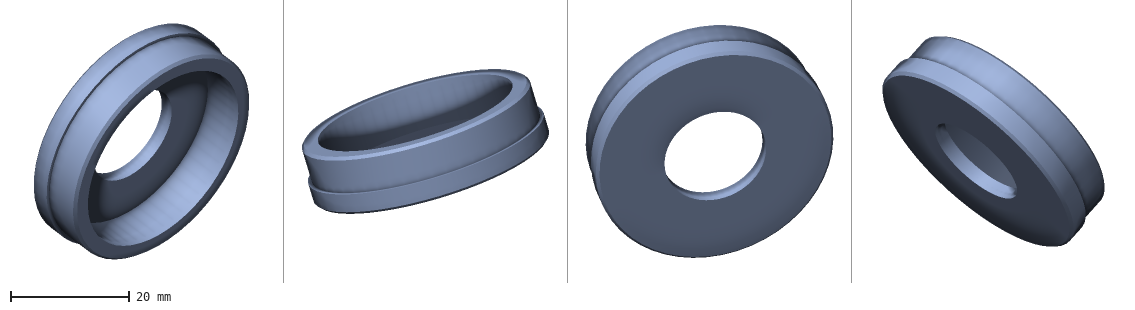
import cadquery as cq

total_width = 10.15
flange_diameter = 41.65
flange_width = 3.75
body_diameter = 40.33
edge_chamfer = 0.5

hole_diameter = 17.85
bore_diameter = 34.4
web_thickness = 2.5


def disc(diameter, start, end):
    """Cylinder about the X axis between two X positions."""
    plane = cq.Plane(origin=(start, 0, 0), xDir=(0, 0, 1), normal=(1, 0, 0))
    return cq.Workplane(plane).circle(diameter / 2).extrude(end - start)


flange = disc(flange_diameter, 0, flange_width).faces("<X").chamfer(edge_chamfer)
body = disc(body_diameter, 0, total_width).faces(">X").chamfer(edge_chamfer)
hole = disc(hole_diameter, 0, total_width)
bore = disc(bore_diameter, web_thickness, total_width)

result = flange.union(body).cut(hole).cut(bore)